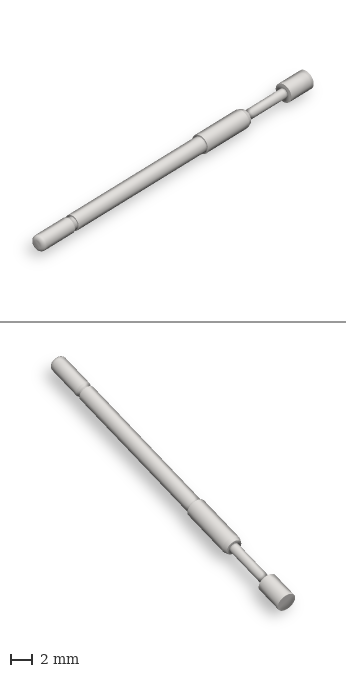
import cadquery as cq

overall_length = 36.3

head_radius = 2.0 / 2
head_length = 3.0
plunger_radius = 1.0 / 2
plunger_length = 5.25

collar_radius = head_radius
collar_length = 6.0
taper_length = 0.45
taper_end_radius = 0.85

barrel_radius = 1.67 / 2
tail_fillet = 0.4

groove_tail_edge = 4.2
groove_width = 0.55
groove_floor_width = 0.25
groove_depth = 0.15

head_base = overall_length - head_length
collar_top = head_base - plunger_length
collar_base = collar_top - collar_length
groove_radius = barrel_radius - groove_depth
groove_wall = groove_tail_edge + groove_width
groove_ramp_top = groove_wall - groove_floor_width


def cylinder(radius, base, length):
    """Cylinder along +Y whose lower face is at Y = base."""
    return cq.Workplane("XZ", origin=(0, base, 0)).circle(radius).extrude(-length)


def turned(points):
    """Solid of revolution about Y from a closed (radius, Y) outline."""
    return cq.Workplane("XY").polyline(points).close().revolve(360, (0, 0, 0), (0, 1, 0))


def make_collar():
    return turned([
        (0, collar_base),
        (collar_radius, collar_base),
        (collar_radius, collar_top - taper_length),
        (taper_end_radius, collar_top),
        (0, collar_top),
    ])


def make_barrel():
    barrel = cylinder(barrel_radius, 0, collar_base).faces("<Y").edges().fillet(tail_fillet)
    groove = turned([
        (barrel_radius, groove_tail_edge),
        (groove_radius, groove_ramp_top),
        (groove_radius, groove_wall),
        (collar_radius, groove_wall),
        (collar_radius, groove_tail_edge),
    ])
    return barrel.cut(groove)


head = cylinder(head_radius, head_base, head_length)
plunger = cylinder(plunger_radius, collar_top, plunger_length)
result = make_barrel().union(make_collar()).union(plunger).union(head)